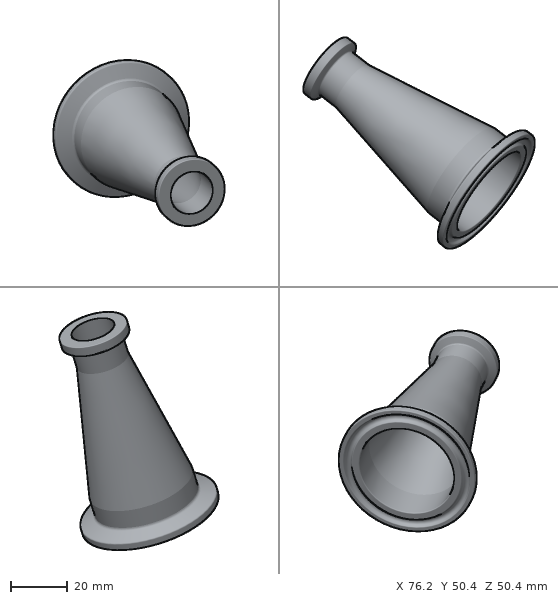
import cadquery as cq
import math

length = 76.2
flange_back_angle = 20.0

large_flange_radius = 50.4 / 2
large_tube_radius = 38.1 / 2
large_bore_radius = 34.8 / 2
large_rim_width = 2.8

small_flange_radius = 25.0 / 2
small_tube_radius = 19.05 / 2
small_bore_radius = 15.8 / 2
small_rim_width = 3.65

end_stretch = 12.65

groove_ring_radius = 43.5 / 2
groove_mouth_half_width = 1.5
groove_floor_half_width = 1.2
groove_wall_depth = 0.8
groove_depth = 1.7

large_face_round = 0.4
large_back_round = 0.6
large_root_round = 1.0
small_face_round = 0.3
small_back_round = 0.3
small_root_round = 0.5
groove_lip_round = 0.4
bore_lip_round = 0.4


def back_width(flange_radius, tube_radius):
    """Axial length of the sloping back between the rim and the tube."""
    return (flange_radius - tube_radius) * math.tan(math.radians(flange_back_angle))


large_root_x = large_rim_width + back_width(large_flange_radius, large_tube_radius)
small_rim_x = length - small_rim_width
small_root_x = small_rim_x - back_width(small_flange_radius, small_tube_radius)
cone_start_x = end_stretch
cone_end_x = length - end_stretch

half_section = [
    (0, large_bore_radius),
    (0, large_flange_radius),
    (large_rim_width, large_flange_radius),
    (large_root_x, large_tube_radius),
    (cone_start_x, large_tube_radius),
    (cone_end_x, small_tube_radius),
    (small_root_x, small_tube_radius),
    (small_rim_x, small_flange_radius),
    (length, small_flange_radius),
    (length, small_bore_radius),
    (cone_end_x, small_bore_radius),
    (cone_start_x, large_bore_radius),
]


def revolve_about_x(sketch):
    return sketch.revolve(360, (0, 0, 0), (1, 0, 0))


body = revolve_about_x(cq.Workplane("XY").polyline(half_section).close())

groove_outer_radius = groove_ring_radius + groove_mouth_half_width
groove_inner_radius = groove_ring_radius - groove_mouth_half_width
groove_section = (
    cq.Workplane("XY")
    .moveTo(0, groove_outer_radius)
    .lineTo(groove_wall_depth, groove_ring_radius + groove_floor_half_width)
    .threePointArc(
        (groove_depth, groove_ring_radius),
        (groove_wall_depth, groove_ring_radius - groove_floor_half_width),
    )
    .lineTo(0, groove_inner_radius)
    .close()
)
body = body.cut(revolve_about_x(groove_section))


def round_ring(solid, x, radius, round_radius):
    """Round the circular edge of the given radius that lies at x."""
    tolerance = 0.001

    def on_ring(edge):
        return (
            edge.geomType() == "CIRCLE"
            and abs(edge.Center().x - x) < tolerance
            and abs(edge.radius() - radius) < tolerance
        )

    ring_edges = [edge for edge in solid.edges().vals() if on_ring(edge)]
    return solid.newObject(ring_edges).fillet(round_radius)


rounded_rings = [
    (0, large_flange_radius, large_face_round),
    (large_rim_width, large_flange_radius, large_back_round),
    (large_root_x, large_tube_radius, large_root_round),
    (length, small_flange_radius, small_face_round),
    (small_rim_x, small_flange_radius, small_back_round),
    (small_root_x, small_tube_radius, small_root_round),
    (0, groove_outer_radius, groove_lip_round),
    (0, groove_inner_radius, groove_lip_round),
    (0, large_bore_radius, bore_lip_round),
]
for ring_x, ring_radius, round_radius in rounded_rings:
    body = round_ring(body, ring_x, ring_radius, round_radius)

result = body